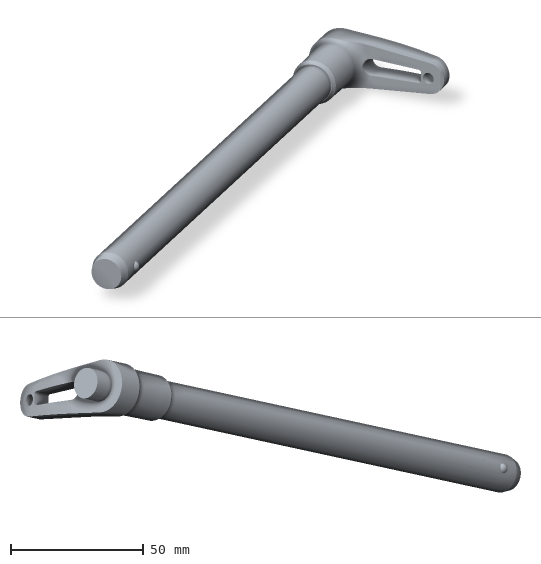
import cadquery as cq
import math

button_end_y = 122.0
head_top_y = 113.7
sleeve_top_y = 99.8
sleeve_straight_end_y = 85.0
sleeve_rim_y = 82.7
sleeve_end_y = 81.3
detent_y = -110.5
tip_chamfer_y = -118.1
tip_end_y = -122.0

button_radius = 5.9
sleeve_top_radius = 9.0
sleeve_end_radius = 8.8
sleeve_rim_radius = 7.8
shaft_radius = 7.3
tip_radius = 6.0
neck_fillet = 5.0
arm_under_y = sleeve_top_y + neck_fillet
collar_radius = sleeve_top_radius + neck_fillet

ball_radius = 2.0
ball_center_x = 6.5

head_diameter = 20.3
head_radius = head_diameter / 2
head_center_x = -0.85
arm_end_radius = 6.3
arm_end_x = 38.3
arm_tip_x = arm_end_x + arm_end_radius

bow_start_x = 14.6
bow_middle_x = 29.3
bow_middle_y = 112.3
tip_top_y = 108.4
tip_under_y = 102.5
tip_bevel_length = 1.2
tip_bevel_height = 0.7

slot_round_x = 14.5
slot_round_radius = 3.5
slot_end_x = 35.1
slot_end_half_height = 2.7
slot_corner_radius = 1.0
eye_radius = 2.2


def along_axis(start_y, end_y):
    """XZ workplane at start_y, and the extrusion length that reaches end_y."""
    return cq.Workplane("XZ", origin=(0, start_y, 0)), start_y - end_y


def turned_pin():
    """Button, flared neck, sleeve and shaft as one turned profile."""
    flare_mid = neck_fillet * math.sqrt(0.5)
    return (
        cq.Workplane("XY")
        .moveTo(0, button_end_y)
        .lineTo(button_radius, button_end_y)
        .lineTo(button_radius, head_top_y)
        .lineTo(collar_radius, head_top_y)
        .lineTo(collar_radius, arm_under_y)
        .threePointArc(
            (collar_radius - flare_mid, sleeve_top_y + flare_mid),
            (sleeve_top_radius, sleeve_top_y),
        )
        .lineTo(sleeve_end_radius, sleeve_straight_end_y)
        .lineTo(sleeve_end_radius, sleeve_rim_y)
        .lineTo(sleeve_rim_radius, sleeve_end_y)
        .lineTo(shaft_radius, sleeve_end_y)
        .lineTo(shaft_radius, tip_chamfer_y)
        .lineTo(tip_radius, tip_end_y)
        .lineTo(0, tip_end_y)
        .close()
        .revolve(360, (0, 0, 0), (0, 1, 0))
    )


def handle_outline(start_y, end_y):
    """Tapered outline with round ends, extruded along the pin axis."""
    taper_sine = (head_radius - arm_end_radius) / (arm_end_x - head_center_x)
    taper_cosine = math.sqrt(1 - taper_sine**2)
    head_x = head_center_x + head_radius * taper_sine
    head_z = head_radius * taper_cosine
    end_x = arm_end_x + arm_end_radius * taper_sine
    end_z = arm_end_radius * taper_cosine
    plane, length = along_axis(start_y, end_y)
    return (
        plane.moveTo(head_x, head_z)
        .lineTo(end_x, end_z)
        .threePointArc((arm_tip_x, 0), (end_x, -end_z))
        .lineTo(head_x, -head_z)
        .threePointArc((head_center_x - head_radius, 0), (head_x, head_z))
        .close()
        .extrude(length)
    )


def bowed_arm():
    """Side profile of the head and arm, as thick as the head is wide."""
    return (
        cq.Workplane("XY")
        .moveTo(head_center_x - head_radius, head_top_y)
        .lineTo(bow_start_x, head_top_y)
        .threePointArc((bow_middle_x, bow_middle_y), (arm_tip_x, tip_top_y))
        .lineTo(arm_tip_x, tip_under_y + tip_bevel_height)
        .lineTo(arm_tip_x - tip_bevel_length, tip_under_y)
        .lineTo(collar_radius, arm_under_y)
        .lineTo(head_center_x - head_radius, arm_under_y)
        .close()
        .extrude(head_radius, both=True)
    )


def arm_slot():
    """Tapered slot, round toward the head and square toward the tip."""
    plane, length = along_axis(head_top_y, tip_under_y - neck_fillet)
    return (
        plane.moveTo(slot_round_x, slot_round_radius)
        .lineTo(slot_end_x, slot_end_half_height)
        .lineTo(slot_end_x, -slot_end_half_height)
        .lineTo(slot_round_x, -slot_round_radius)
        .threePointArc((slot_round_x - slot_round_radius, 0), (slot_round_x, slot_round_radius))
        .close()
        .extrude(length)
        .edges("|Y and >X")
        .fillet(slot_corner_radius)
    )


def arm_eye():
    """Round hole through the end of the arm."""
    plane, length = along_axis(head_top_y, tip_under_y)
    return plane.center(arm_end_x, 0).circle(eye_radius).extrude(length)


def detent_ball(side):
    return cq.Workplane("XY").sphere(ball_radius).translate((side * ball_center_x, detent_y, 0))


pin = turned_pin()
flare_trim = (
    cq.Workplane("XZ", origin=(0, head_top_y, 0))
    .circle(collar_radius)
    .extrude(head_top_y - sleeve_top_y)
    .cut(handle_outline(head_top_y, sleeve_top_y))
)
handle = bowed_arm().intersect(handle_outline(head_top_y, tip_under_y))

result = pin.cut(flare_trim).union(handle).cut(arm_slot()).cut(arm_eye())
for side in (-1, 1):
    result = result.union(detent_ball(side))